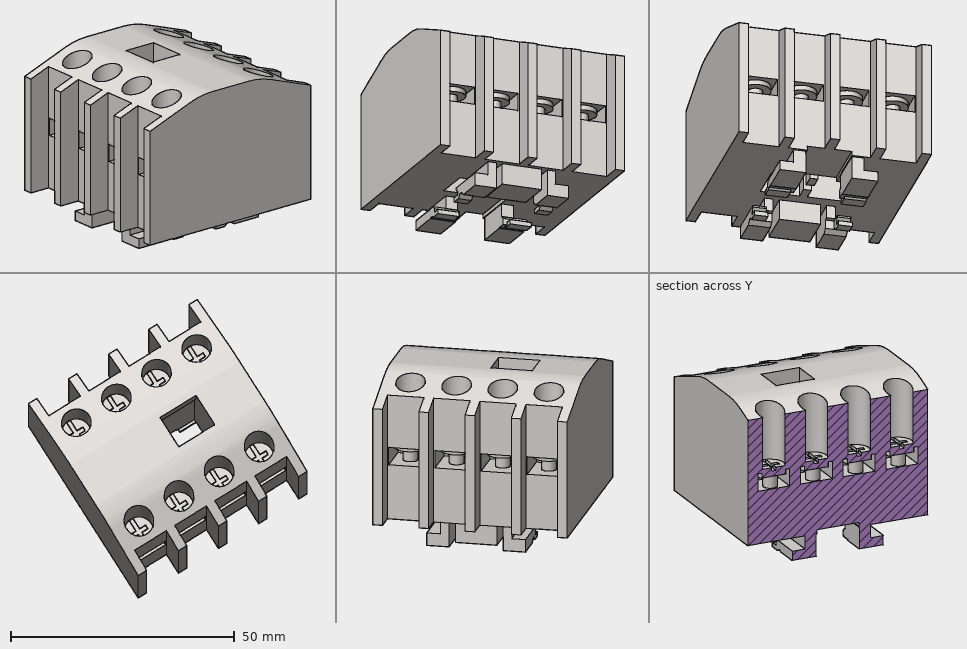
import math

import cadquery as cq

WIDTH = 44.6
LENGTH = 46.2
BODY_HEIGHT = 32.5
TOP_FLAT = 10.63
ARC_SPAN = 6.15
SLOPE_ANGLE = 19.7

TERMINAL_COUNT = 4
PITCH = 10.6
BAY_WIDTH = 8.35
BAY_DEPTH = 5.05
WINDOW_WIDTH = 7.75
WINDOW_DEPTH = 9.25
WINDOW_BOTTOM = 12.7
WINDOW_TOP = 16.75

SCREW_Y = 13.15
ACCESS_DIAMETER = 6.6
HEAD_DIAMETER = 7.05
HEAD_BOTTOM = 15.6
HEAD_TOP = 17.8
SHANK_DIAMETER = 3.33
DRIVE_WIDTH = 0.95
DRIVE_SHORT = 4.1
DRIVE_DEPTH = 0.8

OPENING_LEFT = -9.95
OPENING_RIGHT = -0.45
OPENING_LENGTH = 7.85
OPENING_DEPTH = 4.57
CAVITY_LENGTH = 9.25
DIVIDER_WIDTH = 1.8
DIVIDER_GAP = 2.4
CHANNEL_WIDTH = 10.3
CHANNEL_HEIGHT = 0.95

TAB_WIDTH = 9.5
TAB_DROP = 4.85
FOOT_OUTER = 11.3
LEG_OUTER = 8.2
FRONT_FOOT_INNER = 5.3
NARROW_FOOT_INNER = 6.2

FOOT_TOP = -3.05
LEG_NEAR = 7.6
LIP_NEAR = 4.7

FRONT_FAR = 17.45
FRONT_NEAR = 6.65
FRONT_CHAMFER = 0.75
FRONT_BOTTOM = -5.35
FRONT_RECESS_FAR = 9.0
FRONT_RECESS_NEAR = 7.9
FRONT_RECESS_TOP = -5.17
FRONT_RECESS_SLANT = 0.2
FRONT_LIP_TOP = -4.57
FRONT_LIP_BOTTOM = -5.6
FRONT_LIP_SLANT = 0.4

REAR_FAR = 16.85
REAR_BOTTOM = -6.0
REAR_BEAK_NEAR = 5.85
REAR_BEAK_BOTTOM = -3.45
REAR_THROAT_Y = 6.7
REAR_LIP_TOP = -4.95
REAR_GROOVE_TOP = -5.15
REAR_GROOVE_CEILING = (8.2, 8.82)
REAR_GROOVE_MOUTH = (7.15, 10.03)


def centred(middle, size):
    """Limits of a span of a given size about its middle."""
    return (middle - size / 2, middle + size / 2)


def box(x_range, y_range, z_range):
    """Axis-aligned block between pairs of limits."""
    limits = (x_range, y_range, z_range)
    sizes = [high - low for low, high in limits]
    corner = cq.Vector(*[low for low, high in limits])
    return cq.Workplane("XY").box(*sizes, centered=False).translate(corner)


def cylinder(diameter, x, y, z_range):
    """Upright cylinder between two heights."""
    low, high = z_range
    return cq.Workplane("XY", origin=(x, y, low)).circle(diameter / 2).extrude(high - low)


def extrude_along_x(outline, x_range):
    """Sweep a list of (y, z) points between two X limits."""
    low, high = x_range
    return cq.Workplane("YZ", origin=(low, 0, 0)).polyline(outline).close().extrude(high - low)


def both_sides(shape):
    """A shape together with its mirror image across x = 0."""
    return shape.union(shape.mirror("YZ"))


def make_housing():
    """Plain block with an arched top running along X."""
    slope = math.radians(SLOPE_ANGLE)
    half = LENGTH / 2
    flat_end = TOP_FLAT / 2
    arc_end = flat_end + ARC_SPAN
    arc_radius = ARC_SPAN / math.sin(slope)
    arc_mid = flat_end + arc_radius * math.sin(slope / 2)
    arc_mid_z = BODY_HEIGHT - arc_radius * (1 - math.cos(slope / 2))
    arc_end_z = BODY_HEIGHT - arc_radius * (1 - math.cos(slope))
    shoulder_z = arc_end_z - (half - arc_end) * math.tan(slope)
    return (
        cq.Workplane("YZ", origin=(-WIDTH / 2, 0, 0))
        .moveTo(-half, 0)
        .lineTo(half, 0)
        .lineTo(half, shoulder_z)
        .lineTo(arc_end, arc_end_z)
        .threePointArc((arc_mid, arc_mid_z), (flat_end, BODY_HEIGHT))
        .lineTo(-flat_end, BODY_HEIGHT)
        .threePointArc((-arc_mid, arc_mid_z), (-arc_end, arc_end_z))
        .lineTo(-half, shoulder_z)
        .close()
        .extrude(WIDTH)
    )


def terminal_cut(x):
    """Bay, screw window and driver access hole of one terminal at the -Y side."""
    bay_floor = BAY_DEPTH - LENGTH / 2
    bay = box(centred(x, BAY_WIDTH), (-LENGTH / 2, bay_floor), (0, BODY_HEIGHT))
    window = box(
        centred(x, WINDOW_WIDTH),
        (bay_floor, bay_floor + WINDOW_DEPTH),
        (WINDOW_BOTTOM, WINDOW_TOP),
    )
    access = cylinder(ACCESS_DIAMETER, x, -SCREW_Y, (HEAD_TOP, BODY_HEIGHT))
    return bay.union(window).union(access)


def terminal_screw(x):
    """Cross-slotted screw standing in the window of one terminal at the -Y side."""
    head = cylinder(HEAD_DIAMETER, x, -SCREW_Y, (HEAD_BOTTOM, HEAD_TOP))
    shank = cylinder(SHANK_DIAMETER, x, -SCREW_Y, (WINDOW_BOTTOM, HEAD_BOTTOM))
    return head.union(shank)


def screw_drive(x):
    """Cross slot in the head of one screw; its long arm spans the access hole."""
    drive_z = (HEAD_TOP - DRIVE_DEPTH, HEAD_TOP)
    long_arm = box(centred(x, DRIVE_WIDTH), centred(-SCREW_Y, ACCESS_DIAMETER), drive_z)
    short_arm = box(centred(x, DRIVE_SHORT), centred(-SCREW_Y, DRIVE_WIDTH), drive_z)
    return long_arm.union(short_arm)


def add_terminals(body):
    """Cut the bays along both long sides and fit their screws."""
    for index in range(TERMINAL_COUNT):
        x = (index - (TERMINAL_COUNT - 1) / 2) * PITCH
        pieces = [terminal_cut(x), terminal_screw(x), screw_drive(x)]
        mirrored_pieces = [piece.mirror("XZ") for piece in pieces]
        for cut, screw, drive in (pieces, mirrored_pieces):
            body = body.cut(cut).union(screw).cut(drive)
    return body


def make_cavity():
    """Top opening, divided cavity open at the underside, and channel to the -Y side."""
    cavity_top = BODY_HEIGHT - OPENING_DEPTH
    cavity_y = centred(0, CAVITY_LENGTH)
    opening = box(
        (OPENING_LEFT, OPENING_RIGHT),
        centred(0, OPENING_LENGTH),
        (cavity_top, BODY_HEIGHT),
    )
    chamber = box((OPENING_LEFT, -DIVIDER_WIDTH / 2), cavity_y, (0, cavity_top))
    gap = box(centred(0, DIVIDER_WIDTH), centred(0, DIVIDER_GAP), (0, cavity_top))
    channel = box(
        centred(0, CHANNEL_WIDTH),
        (-LENGTH / 2, -CAVITY_LENGTH / 2),
        (0, CHANNEL_HEIGHT),
    )
    return opening.union(both_sides(chamber)).union(gap).union(channel)


def make_front_feet():
    """Pair of L-shaped feet at the -Y side, each with a lip pointing inwards."""
    leg = box((-LEG_OUTER, -FRONT_FOOT_INNER), (-FRONT_FAR, -LEG_NEAR), (FOOT_TOP, 0))
    foot_outline = [
        (-FRONT_FAR, FOOT_TOP),
        (-FRONT_NEAR - FRONT_CHAMFER, FOOT_TOP),
        (-FRONT_NEAR, FOOT_TOP - FRONT_CHAMFER),
        (-FRONT_NEAR, FRONT_RECESS_TOP),
        (-FRONT_RECESS_FAR + FRONT_RECESS_SLANT, FRONT_RECESS_TOP),
        (-FRONT_RECESS_FAR, FRONT_BOTTOM),
        (-FRONT_FAR, FRONT_BOTTOM),
    ]
    lip_outline = [
        (-FRONT_RECESS_NEAR, FRONT_LIP_TOP),
        (-LIP_NEAR, FRONT_LIP_TOP),
        (-LIP_NEAR, FRONT_LIP_BOTTOM),
        (-FRONT_RECESS_NEAR + FRONT_LIP_SLANT, FRONT_LIP_BOTTOM),
        (-FRONT_RECESS_NEAR, FRONT_RECESS_TOP),
    ]
    foot = extrude_along_x(foot_outline, (-FOOT_OUTER, -FRONT_FOOT_INNER))
    lip = extrude_along_x(lip_outline, (-FOOT_OUTER, -NARROW_FOOT_INNER))
    return both_sides(leg.union(foot).union(lip))


def make_rear_feet():
    """Pair of feet at the +Y side; the hook is only on the outer part of each foot."""
    ceiling_near, ceiling_far = REAR_GROOVE_CEILING
    mouth_near, mouth_far = REAR_GROOVE_MOUTH
    beak_slant = REAR_THROAT_Y - REAR_BEAK_NEAR
    leg = box((-LEG_OUTER, -NARROW_FOOT_INNER), (LEG_NEAR, REAR_FAR), (FOOT_TOP, 0))
    heel_outline = [
        (REAR_FAR, FOOT_TOP),
        (ceiling_far, FOOT_TOP),
        (ceiling_far, REAR_GROOVE_TOP),
        (mouth_far, REAR_BOTTOM),
        (REAR_FAR, REAR_BOTTOM),
    ]
    hook_outline = [
        (ceiling_far, FOOT_TOP),
        (REAR_BEAK_NEAR, FOOT_TOP),
        (REAR_BEAK_NEAR, REAR_BEAK_BOTTOM),
        (REAR_THROAT_Y, REAR_BEAK_BOTTOM - beak_slant),
        (REAR_THROAT_Y, REAR_LIP_TOP),
        (LIP_NEAR, REAR_LIP_TOP),
        (LIP_NEAR, REAR_BOTTOM),
        (mouth_near, REAR_BOTTOM),
        (ceiling_near, REAR_GROOVE_TOP),
        (ceiling_far, REAR_GROOVE_TOP),
    ]
    heel = extrude_along_x(heel_outline, (-FOOT_OUTER, -NARROW_FOOT_INNER))
    hook = extrude_along_x(hook_outline, (-FOOT_OUTER, -LEG_OUTER))
    return both_sides(leg.union(heel).union(hook))


def make_tab():
    """Plain latch tab between the rear feet."""
    return box(centred(0, TAB_WIDTH), (LEG_NEAR, REAR_FAR), (-TAB_DROP, 0))


body = add_terminals(make_housing()).cut(make_cavity())
result = body.union(make_front_feet()).union(make_rear_feet()).union(make_tab())